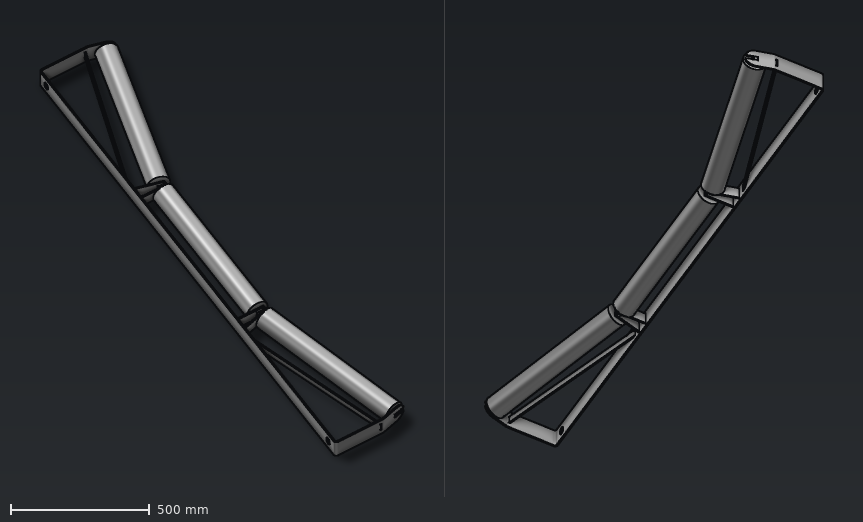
import cadquery as cq
import math


HALF_LENGTH = 1000.0
TOTAL_HEIGHT = 311.45
STRIP_WIDTH = 80.0
STRIP_THICKNESS = 6.0
CORNER_RADIUS = 12.0
UPRIGHT_HEIGHT = 206.0

TROUGH_ANGLE = 15.0
ROLLER_DIAMETER = 89.0
ROLLER_LENGTH = 632.0
SHAFT_DIAMETER = 18.0
CENTRE_AXIS_HEIGHT = 99.0
WING_MIDDLE_X = 663.0

BRACKET_HEIGHT = 121.0
BRACKET_WIDTH = 50.0
BRACKET_GAP = 7.0

BRACE_WIDTH = 30.0
BRACE_THICKNESS = 6.0
BRACE_TOP_HEIGHT = 196.0
BRACE_FOOT_X = 410.0

MOUNT_SLOT_X = 951.0
MOUNT_SLOT_LENGTH = 30.0
MOUNT_SLOT_WIDTH = 24.0

tilt = math.radians(TROUGH_ANGLE)
roller_radius = ROLLER_DIAMETER / 2
shaft_radius = SHAFT_DIAMETER / 2
half_width = STRIP_WIDTH / 2

wing_middle_y = TOTAL_HEIGHT - roller_radius * math.cos(tilt) - ROLLER_LENGTH / 2 * math.sin(tilt)

bend_dx = HALF_LENGTH - WING_MIDDLE_X
bend_dy = UPRIGHT_HEIGHT - wing_middle_y
outer_reach = bend_dx * math.cos(tilt) + bend_dy * math.sin(tilt)
bend_drop = bend_dx * math.sin(tilt) - bend_dy * math.cos(tilt)

leg_near = ROLLER_LENGTH / 2 + BRACKET_GAP
leg_far = leg_near + STRIP_THICKNESS


def place_on_wing(part):
    """Move a part built along X about the origin onto the right-hand wing axis."""
    turned = part.rotate((0, 0, 0), (0, 0, 1), TROUGH_ANGLE)
    return turned.translate((WING_MIDDLE_X, wing_middle_y, 0))


def mirrored(part):
    """Left-hand copy of a right-hand part."""
    return part.mirror("YZ")


def extrude_across(outline, width):
    """Extrude a closed XY outline to a width centred on Z = 0."""
    return cq.Workplane("XY", origin=(0, 0, -width / 2)).polyline(outline).close().extrude(width)


def roller(left_reach, right_reach):
    """Roller along X about the origin, with its shaft reaching out at both ends."""
    shell_start = cq.Workplane("YZ", origin=(-ROLLER_LENGTH / 2, 0, 0))
    shell = shell_start.circle(roller_radius).extrude(ROLLER_LENGTH)
    shaft_start = cq.Workplane("YZ", origin=(-left_reach, 0, 0))
    shaft = shaft_start.circle(shaft_radius).extrude(left_reach + right_reach)
    return shell.union(shaft)


def shaft_notch(left, right):
    """Cutter for a shaft seat that is open upwards, between two places along X."""
    depth = roller_radius + shaft_radius
    block = cq.Workplane("XY").box(right - left, depth, SHAFT_DIAMETER, centered=(False, False, True))
    return block.translate((left, -shaft_radius, 0))


def end_plate():
    """Leaning end of the frame: round top and an open seat for the wing shaft."""
    plate = (
        cq.Workplane("YZ", origin=(outer_reach - STRIP_THICKNESS, 0, 0))
        .moveTo(-bend_drop, -half_width)
        .lineTo(0, -half_width)
        .threePointArc((half_width, 0), (0, half_width))
        .lineTo(-bend_drop, half_width)
        .close()
        .extrude(STRIP_THICKNESS)
    )
    return place_on_wing(plate.cut(shaft_notch(outer_reach - STRIP_THICKNESS, outer_reach)))


def brace():
    """Flat bar from the foot of the frame up through a slot in the upright."""
    rise = BRACE_TOP_HEIGHT - STRIP_THICKNESS
    run = HALF_LENGTH - BRACE_FOOT_X
    length = math.hypot(rise, run)
    half_foot = BRACE_THICKNESS * length / rise / 2
    half_top = BRACE_THICKNESS * length / run / 2
    outline = [
        (BRACE_FOOT_X - half_foot, STRIP_THICKNESS),
        (BRACE_FOOT_X + half_foot, STRIP_THICKNESS),
        (HALF_LENGTH, BRACE_TOP_HEIGHT - half_top),
        (HALF_LENGTH, BRACE_TOP_HEIGHT + half_top),
    ]
    return extrude_across(outline, BRACE_WIDTH)


def frame():
    """Bent strap with foot, uprights and leaning ends, slotted for mounting and braces."""
    inside = HALF_LENGTH - STRIP_THICKNESS
    outline = [
        (-HALF_LENGTH, UPRIGHT_HEIGHT),
        (-HALF_LENGTH, 0),
        (HALF_LENGTH, 0),
        (HALF_LENGTH, UPRIGHT_HEIGHT),
        (inside, UPRIGHT_HEIGHT),
        (inside, STRIP_THICKNESS),
        (-inside, STRIP_THICKNESS),
        (-inside, UPRIGHT_HEIGHT),
    ]
    strap = extrude_across(outline, STRIP_WIDTH)
    strap = strap.edges("|Z and <Y").fillet(CORNER_RADIUS)
    inner_corners = cq.selectors.BoxSelector(
        (-HALF_LENGTH, STRIP_THICKNESS / 2, -STRIP_WIDTH),
        (HALF_LENGTH, STRIP_THICKNESS * 3 / 2, STRIP_WIDTH),
    )
    strap = strap.edges("|Z").edges(inner_corners).fillet(CORNER_RADIUS - STRIP_THICKNESS)
    mount_slots = (
        cq.Workplane("XZ")
        .pushPoints([(-MOUNT_SLOT_X, 0), (MOUNT_SLOT_X, 0)])
        .slot2D(MOUNT_SLOT_LENGTH, MOUNT_SLOT_WIDTH, 90)
        .extrude(-STRIP_THICKNESS)
    )
    strap = strap.union(end_plate()).union(mirrored(end_plate()))
    return strap.cut(mount_slots).cut(brace()).cut(mirrored(brace()))


def leaning_x(reach, height):
    """X at a height on the plane square to the wing axis, a reach inward of its middle."""
    return WING_MIDDLE_X - (reach + (height - wing_middle_y) * math.sin(tilt)) / math.cos(tilt)


def inner_bracket():
    """Inverted U: upright leg, level top and leaning leg, with seats for two shafts."""
    under_top = BRACKET_HEIGHT - STRIP_THICKNESS
    outline = [
        (leg_near, STRIP_THICKNESS),
        (leg_near, BRACKET_HEIGHT),
        (leaning_x(leg_near, BRACKET_HEIGHT), BRACKET_HEIGHT),
        (leaning_x(leg_near, STRIP_THICKNESS), STRIP_THICKNESS),
        (leaning_x(leg_far, STRIP_THICKNESS), STRIP_THICKNESS),
        (leaning_x(leg_far, under_top), under_top),
        (leg_far, under_top),
        (leg_far, STRIP_THICKNESS),
    ]
    bracket = extrude_across(outline, BRACKET_WIDTH)
    centre_notch = shaft_notch(leg_near, leg_far).translate((0, CENTRE_AXIS_HEIGHT, 0))
    wing_notch = place_on_wing(shaft_notch(-leg_far, -leg_near))
    return bracket.cut(centre_notch).cut(wing_notch)


centre_roller = roller(leg_far, leg_far).translate((0, CENTRE_AXIS_HEIGHT, 0))
wing_roller = place_on_wing(roller(leg_far, outer_reach))

bodies = [frame(), centre_roller]
for part in (wing_roller, inner_bracket(), brace()):
    bodies += [part, mirrored(part)]

result = cq.Compound.makeCompound([body.val() for body in bodies])